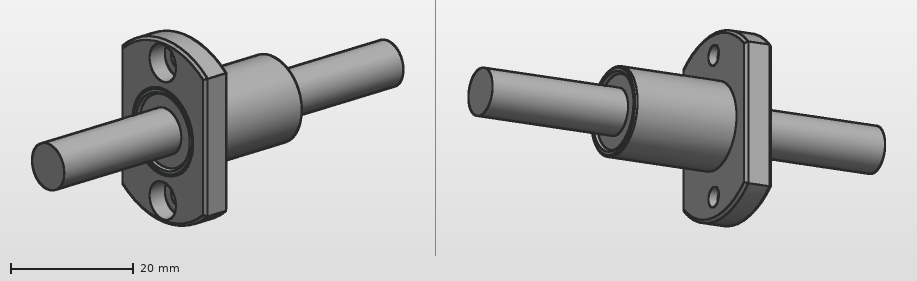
import cadquery as cq

shaft_length = 74.0
shaft_diameter = 8.0
nut_length = 24.0
nut_diameter = 15.0
nut_edge_chamfer = 0.3

flange_diameter = 31.9
flange_width = 21.0
flange_thickness = 5.0
flange_chamfer = 0.5

hole_spacing = 24.0
hole_diameter = 3.4
counterbore_diameter = 6.5
counterbore_depth = 3.3

recess_mouth_diameter = 13.3
recess_floor_diameter = 12.6
recess_depth = 0.5

front_y = -nut_length / 2


def cylinder_y(diameter, start_y, length, z=0):
    """Solid cylinder growing toward +Y from start_y."""
    disc = cq.Workplane("XZ", origin=(0, start_y, z)).circle(diameter / 2)
    return disc.extrude(-length)


def make_flange():
    """Disc with two flats, chamfered around both faces and bored for the nut."""
    disc = cylinder_y(flange_diameter, front_y, flange_thickness)
    flats = cq.Workplane("XY").box(flange_width, 2 * nut_length, flange_diameter)
    plate = disc.intersect(flats).faces("<Y or >Y").chamfer(flange_chamfer)
    return plate.cut(cylinder_y(nut_diameter, front_y, flange_thickness))


def make_recess():
    """Shallow tapered recess in the front end of the nut."""
    mouth = cq.Workplane("XZ", origin=(0, front_y, 0)).circle(recess_mouth_diameter / 2)
    floor = mouth.workplane(offset=-recess_depth).circle(recess_floor_diameter / 2)
    return floor.loft()


nut = cylinder_y(nut_diameter, front_y, nut_length)
nut = nut.faces("<Y or >Y").chamfer(nut_edge_chamfer)
body = nut.union(make_flange())

for side in (-1, 1):
    hole_z = side * hole_spacing / 2
    body = body.cut(cylinder_y(hole_diameter, front_y, flange_thickness, z=hole_z))
    body = body.cut(cylinder_y(counterbore_diameter, front_y, counterbore_depth, z=hole_z))

recess = make_recess()
body = body.cut(recess).cut(recess.mirror("XZ"))

result = body.union(cylinder_y(shaft_diameter, -shaft_length / 2, shaft_length))